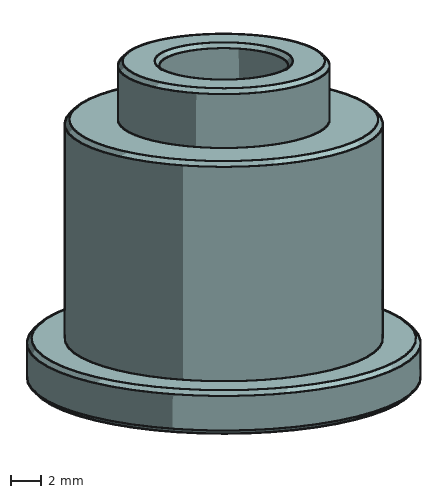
import cadquery as cq

flange_diameter = 26.0
flange_top = 3.0
body_diameter = 21.0
body_top = 18.0
neck_diameter = 14.0
total_height = 22.0
bore_diameter = 8.5
edge_chamfer = 0.3


def chamfered_disc(diameter, bottom, top):
    """Cylinder between two heights with its upper rim chamfered."""
    disc = cq.Workplane("XY").workplane(offset=bottom).circle(diameter / 2).extrude(top - bottom)
    return disc.faces(">Z").edges().chamfer(edge_chamfer)


flange = chamfered_disc(flange_diameter, 0, flange_top).faces("<Z").edges().chamfer(edge_chamfer)
body = chamfered_disc(body_diameter, flange_top, body_top)
neck = chamfered_disc(neck_diameter, body_top, total_height)
bushing = flange.union(body).union(neck)

bore = cq.Workplane("XY").circle(bore_diameter / 2).extrude(total_height)
bushing = bushing.cut(bore)
bore_mouths = bushing.faces("<Z or >Z").edges(cq.selectors.RadiusNthSelector(0))
result = bore_mouths.chamfer(edge_chamfer)